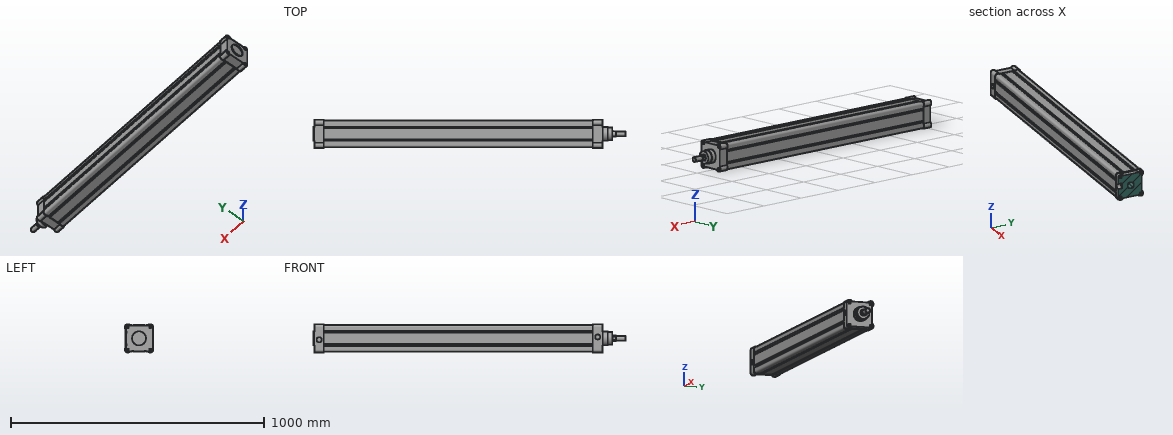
import cadquery as cq
import math

TOTAL_LENGTH = 1233.0
REAR_BOSS_LENGTH = 4.0
CAP_LENGTH = 38.0
FRONT_CAP_END = 1142.0
TUBE_START = REAR_BOSS_LENGTH + CAP_LENGTH
TUBE_END = FRONT_CAP_END - CAP_LENGTH

CAP_WIDTH = 112.0
CAP_RECESS_WIDTH = 100.0
SCREW_SPACING = 89.0
CAP_HALF = CAP_WIDTH / 2
SCREW_OFFSET = SCREW_SPACING / 2
LOBE_RADIUS = CAP_HALF - SCREW_OFFSET
SCREW_HOLE_RADIUS = 4.3
SCREW_HOLE_DEPTH = 18.0
PORT_RADIUS = 10.1
PORT_DEPTH = 18.0
PORT_OFFSET = 5.5

BOSS_DIAMETER = 55.0
COLLAR_NOSE_DIAMETER = 50.0
COLLAR_LENGTH = 20.0
COLLAR_NOSE_LENGTH = 18.0
COLLAR_STEP = FRONT_CAP_END + COLLAR_LENGTH
COLLAR_END = COLLAR_STEP + COLLAR_NOSE_LENGTH

TUBE_WIDTH = 107.0
TUBE_HALF = TUBE_WIDTH / 2
TUBE_CORNER_RADIUS = TUBE_HALF - SCREW_OFFSET
LAND_WIDTH = 43.0
LAND_HALF = LAND_WIDTH / 2
GROOVE_WIDTH = 6.0
GROOVE_DEPTH = 4.0
SLOT_FLOOR_WIDTH = 4.3
SLOT_MOUTH_WIDTH = 9.0
SLOT_WALL_ANGLE = 67.0
SLOT_DEPTH = (SLOT_MOUTH_WIDTH - SLOT_FLOOR_WIDTH) * math.tan(math.radians(SLOT_WALL_ANGLE))

ROD_RADIUS = 12.0
THREAD_RADIUS = 10.0
THREAD_LENGTH = 37.0
THREAD_START = TOTAL_LENGTH - THREAD_LENGTH
SHOULDER_LENGTH = 3.1
SHOULDER_START = THREAD_START - SHOULDER_LENGTH
TIP_CHAMFER = 1.0
FLAT_HALF_WIDTH = 11.0
FLATS_GAP = 2.0
FLATS_START = COLLAR_END + FLATS_GAP


def section(x):
    """Workplane across the axis at X = x, with its local axes along Y and Z."""
    return cq.Workplane("YZ", origin=(x, 0, 0))


def disc(x_start, x_end, diameter):
    return section(x_start).circle(diameter / 2).extrude(x_end - x_start)


def screw_points():
    return [(y, z) for y in (-SCREW_OFFSET, SCREW_OFFSET) for z in (-SCREW_OFFSET, SCREW_OFFSET)]


def end_cap(x_start, outer_face, inward, port_height):
    """Cap block with four corner lobes, blind screw holes in its outer face and one port."""
    plane = section(x_start)
    cap = plane.rect(CAP_RECESS_WIDTH, CAP_RECESS_WIDTH).extrude(CAP_LENGTH)
    cap = cap.union(plane.pushPoints(screw_points()).circle(LOBE_RADIUS).extrude(CAP_LENGTH))
    port_pad = plane.center(-CAP_HALF / 2, 0).rect(CAP_HALF, SCREW_SPACING).extrude(CAP_LENGTH)
    cap = cap.union(port_pad)

    screw_holes = (
        section(outer_face).pushPoints(screw_points())
        .circle(SCREW_HOLE_RADIUS).extrude(inward * SCREW_HOLE_DEPTH)
    )
    port = (
        cq.Workplane("XZ", origin=(x_start + CAP_LENGTH / 2, -CAP_HALF, port_height))
        .circle(PORT_RADIUS).extrude(-PORT_DEPTH)
    )
    return cap.cut(screw_holes).cut(port)


def rear_cap_body():
    cap = end_cap(REAR_BOSS_LENGTH, REAR_BOSS_LENGTH, 1, -PORT_OFFSET)
    return cap.union(disc(0, REAR_BOSS_LENGTH, BOSS_DIAMETER))


def front_cap_body():
    cap = end_cap(TUBE_END, FRONT_CAP_END, -1, PORT_OFFSET)
    cap = cap.union(disc(FRONT_CAP_END, COLLAR_STEP, BOSS_DIAMETER))
    cap = cap.union(disc(COLLAR_STEP, COLLAR_END, COLLAR_NOSE_DIAMETER))
    return cap.cut(disc(TUBE_END, COLLAR_END, 2 * ROD_RADIUS))


def tube_body():
    """Square profile with two plain grooves on three sides and two sensor slots on the port side."""
    length = TUBE_END - TUBE_START
    tube = section(TUBE_START).rect(TUBE_WIDTH, TUBE_WIDTH).extrude(length)
    tube = tube.edges("|X").fillet(TUBE_CORNER_RADIUS)

    groove_center = LAND_HALF + GROOVE_WIDTH / 2
    grooves = (
        section(TUBE_START)
        .pushPoints([(-groove_center, TUBE_HALF), (groove_center, TUBE_HALF)])
        .rect(GROOVE_WIDTH, 2 * GROOVE_DEPTH).extrude(length)
    )
    for turn in (0, 90, 180):
        tube = tube.cut(grooves.rotate((0, 0, 0), (-1, 0, 0), turn))

    slot_floor = SLOT_DEPTH - TUBE_HALF
    for side in (-1, 1):
        slot = (
            section(TUBE_START)
            .moveTo(-TUBE_HALF, side * LAND_HALF)
            .lineTo(slot_floor, side * LAND_HALF)
            .lineTo(slot_floor, side * (LAND_HALF + SLOT_FLOOR_WIDTH))
            .lineTo(-TUBE_HALF, side * (LAND_HALF + SLOT_MOUTH_WIDTH))
            .close().extrude(length)
        )
        tube = tube.cut(slot)
    return tube


def piston_rod_body():
    """Rod with two wrench flats and a thinner threaded end."""
    rod = (
        cq.Workplane("XY")
        .moveTo(TUBE_END, 0)
        .lineTo(TUBE_END, ROD_RADIUS)
        .lineTo(SHOULDER_START, ROD_RADIUS)
        .lineTo(THREAD_START, THREAD_RADIUS)
        .lineTo(TOTAL_LENGTH - TIP_CHAMFER, THREAD_RADIUS)
        .lineTo(TOTAL_LENGTH, THREAD_RADIUS - TIP_CHAMFER)
        .lineTo(TOTAL_LENGTH, 0)
        .close().revolve(360, (0, 0, 0), (1, 0, 0))
    )
    flats_length = THREAD_START - FLATS_START
    for side in (-1, 1):
        flat = (
            section(FLATS_START).center(side * (FLAT_HALF_WIDTH + ROD_RADIUS / 2), 0)
            .rect(ROD_RADIUS, 2 * ROD_RADIUS).extrude(flats_length)
        )
        rod = rod.cut(flat)
    return rod


rear_cap = rear_cap_body()
tube = tube_body()
front_cap = front_cap_body()
piston_rod = piston_rod_body()

result = cq.Compound.makeCompound([rear_cap.val(), tube.val(), front_cap.val(), piston_rod.val()])